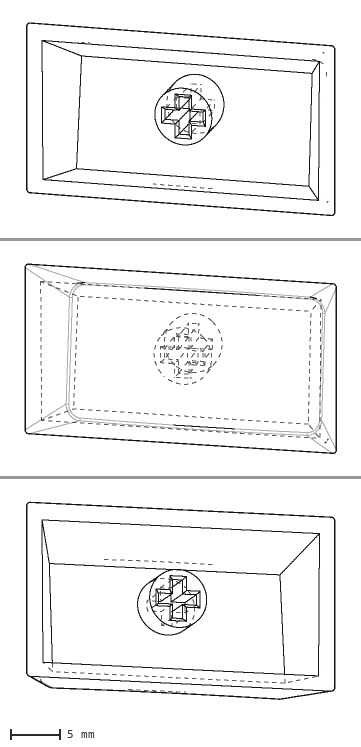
import cadquery as cq
import math


rim_width = 32.45
rim_height = 18.0
rim_corner = 0.4
back_width = 26.48
back_top_z = 4.93
back_bottom_z = -rim_height / 2
back_top_y = 7.98
back_tilt = 8.1
back_corner = 1.62
back_edge_round = 0.25
dish_sag = 0.5

pocket_top_z = 7.25
pocket_bottom_z = -7.5
pocket_top_width = 29.2
pocket_bottom_width = 29.0
floor_top_z = 4.0
floor_top_y = 6.33
floor_top_width = 24.27
floor_bottom_width = 24.47

stem_diameter = 6.0
stem_front_y = 1.0
cross_length = 4.65
cross_arm = 1.72
cross_chamfer = 0.32

tilt_slope = math.tan(math.radians(back_tilt))
back_length = (back_top_z - back_bottom_z) / math.cos(math.radians(back_tilt))
back_bottom_y = back_top_y - (back_top_z - back_bottom_z) * tilt_slope


def rounded_outline(plane, width, height, corner):
    """Rounded rectangle centred on the plane's origin."""
    outline = cq.Sketch().rect(width, height).vertices().fillet(corner)
    return outline.moved(plane.location)


def make_shell():
    """Solid body between the upright rim and the tilted back, with the back dished."""
    rim_plane = cq.Plane(origin=(0, 0, 0), xDir=(1, 0, 0), normal=(0, -1, 0))
    back_plane = cq.Plane(
        origin=(0, (back_top_y + back_bottom_y) / 2, (back_top_z + back_bottom_z) / 2),
        xDir=(1, 0, 0),
        normal=(0, -1, tilt_slope),
    )
    rim = rounded_outline(rim_plane, rim_width, rim_height, rim_corner)
    back = rounded_outline(back_plane, back_width, back_length, back_corner)
    body = cq.Workplane().placeSketch(rim, back).loft(ruled=True)

    half_width = back_width / 2
    dish_radius = (half_width**2 + dish_sag**2) / (2 * dish_sag)
    dish_plane = cq.Plane(origin=back_plane.origin, xDir=(1, 0, 0), normal=(0, tilt_slope, 1))
    dish = (
        cq.Workplane(dish_plane)
        .center(0, dish_radius - dish_sag)
        .circle(dish_radius)
        .extrude(back_length, both=True)
    )
    body = body.cut(dish)
    dish_edges = body.faces(cq.selectors.NearestToPointSelector(back_plane.origin.toTuple())).edges()
    return dish_edges.fillet(back_edge_round)


def make_pocket():
    """Tapered cavity whose floor is parallel to the back."""
    floor_bottom_y = floor_top_y - (floor_top_z - pocket_bottom_z) * tilt_slope

    def outline(top_width, top_y, top_z, bottom_width, bottom_y):
        corners = [
            (-bottom_width / 2, bottom_y, pocket_bottom_z),
            (bottom_width / 2, bottom_y, pocket_bottom_z),
            (top_width / 2, top_y, top_z),
            (-top_width / 2, top_y, top_z),
        ]
        return cq.Wire.makePolygon([cq.Vector(*corner) for corner in corners], close=True)

    mouth = outline(pocket_top_width, 0, pocket_top_z, pocket_bottom_width, 0)
    floor = outline(floor_top_width, floor_top_y, floor_top_z, floor_bottom_width, floor_bottom_y)
    return cq.Workplane(cq.Solid.makeLoft([mouth, floor], True))


def make_stem():
    """Round post with a cross-shaped socket, running to the back for trimming by the pocket floor."""
    post = (
        cq.Workplane("XZ", origin=(0, stem_front_y, 0))
        .circle(stem_diameter / 2)
        .extrude(stem_front_y - back_top_y)
    )
    return post.cut(make_socket())


def make_socket():
    """Cross-shaped hole along the stem, chamfered at its mouth."""
    narrowing = 2 * cross_chamfer

    def bar(width, height):
        lead_in = (
            cq.Workplane("XZ", origin=(0, stem_front_y, 0))
            .rect(width, height)
            .workplane(offset=-cross_chamfer)
            .rect(width - narrowing, height - narrowing)
            .loft(ruled=True)
        )
        hole = (
            cq.Workplane("XZ", origin=(0, stem_front_y, 0))
            .rect(width - narrowing, height - narrowing)
            .extrude(stem_front_y - back_top_y)
        )
        return lead_in.union(hole)

    return bar(cross_length, cross_arm).union(bar(cross_arm, cross_length))


cavity = make_pocket().cut(make_stem())
result = make_shell().cut(cavity)